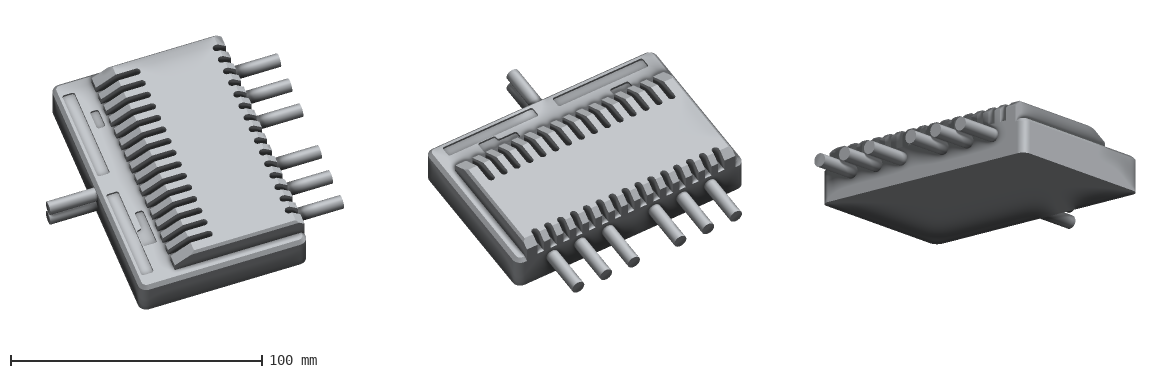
import cadquery as cq

base_width = 106.0
base_depth = 71.0
base_height = 15.0
base_corner_radius = 3.5
base_top_chamfer = 1.5
front_y = -base_depth / 2
back_y = base_depth / 2

total_height = 23.2
block_width = 97.0
block_depth = 55.0
block_side_chamfer = 1.0
back_bevel_depth = 3.5
back_bevel_drop = 2.9
front_bevel_depth = 8.5
front_bevel_drop = 5.0
block_front_y = back_y - block_depth

slot_count = 15
slot_pitch = 6.0
slot_width = 3.0
front_slot_length = 18.3
back_slot_length = 6.0

recess_depth = 1.0
recess_corner_radius = 1.0
label_length = 41.9
label_width = 5.2
label_center_x = 25.6
label_center_y = front_y + 5.3
window_back_y = front_y + 14.0
window_width = 3.6
window_length = 8.8
window_center_x = -31.0
step_left_x = 16.7
step_inner_x = 25.2
step_right_x = 33.4
step_depth = 5.9

cable_diameter = 5.6
cable_length = 20.0
back_cable_z = 10.1
back_cable_first_x = 10.8
back_cable_pitch = 12.95
back_cables_per_side = 3
front_cable_heights = (3.7, 10.4)


def make_base():
    """Box with rounded upright corners and a chamfer around the top."""
    box = cq.Workplane("XY").box(base_width, base_depth, base_height, centered=(True, True, False))
    return box.edges("|Z").fillet(base_corner_radius).faces(">Z").edges().chamfer(base_top_chamfer)


def make_block():
    """Block flush with the back of the base; it starts at the foot of the base chamfer."""
    block_bottom = base_height - base_top_chamfer
    profile = [
        (back_y, block_bottom),
        (back_y, total_height - back_bevel_drop),
        (back_y - back_bevel_depth, total_height),
        (block_front_y + front_bevel_depth, total_height),
        (block_front_y, total_height - front_bevel_drop),
        (block_front_y, block_bottom),
    ]
    side_profile = cq.Workplane("YZ").polyline(profile).close()
    beveled = side_profile.extrude(block_width / 2, both=True)
    envelope = (
        cq.Workplane("XY")
        .box(block_width, 2 * base_depth, total_height, centered=(True, True, False))
        .edges("|Y and >Z")
        .chamfer(block_side_chamfer)
    )
    return beveled.intersect(envelope)


def make_slot_cutters(edge_y, length):
    """Row of slots of the given length running inward from both sides of edge_y."""
    first_x = -slot_pitch * (slot_count - 1) / 2
    centers = [(first_x + i * slot_pitch, edge_y) for i in range(slot_count)]
    return (
        cq.Workplane("XY", origin=(0, 0, base_height))
        .pushPoints(centers)
        .slot2D(2 * length, slot_width, 90)
        .extrude(total_height - base_height)
    )


def make_recess(length, width, center_x, center_y):
    """Rectangular recess cutter with rounded corners."""
    return (
        cq.Workplane("XY", origin=(center_x, center_y, base_height - recess_depth))
        .rect(length, width)
        .extrude(recess_depth)
        .edges("|Z")
        .fillet(recess_corner_radius)
    )


def make_stepped_recess():
    """Recess cutter whose right-hand part reaches further forward."""
    window_front_y = window_back_y - window_width
    step_front_y = window_back_y - step_depth
    outline = [
        (step_left_x, window_back_y),
        (step_right_x, window_back_y),
        (step_right_x, step_front_y),
        (step_inner_x, step_front_y),
        (step_inner_x, window_front_y),
        (step_left_x, window_front_y),
    ]
    return (
        cq.Workplane("XY", origin=(0, 0, base_height - recess_depth))
        .polyline(outline)
        .close()
        .extrude(recess_depth)
        .edges("|Z")
        .fillet(recess_corner_radius)
    )


def make_cable(x, z, wall_y, direction):
    """Cable stub leaving the wall at wall_y; direction is 1 for +Y and -1 for -Y."""
    start = cq.Vector(x, wall_y, z)
    return cq.Workplane(
        cq.Solid.makeCylinder(cable_diameter / 2, cable_length, start, cq.Vector(0, direction, 0))
    )


result = make_base().union(make_block())
result = result.cut(make_slot_cutters(block_front_y, front_slot_length))
result = result.cut(make_slot_cutters(back_y, back_slot_length))

for side in (-1, 1):
    result = result.cut(make_recess(label_length, label_width, side * label_center_x, label_center_y))
window_center_y = window_back_y - window_width / 2
result = result.cut(make_recess(window_length, window_width, window_center_x, window_center_y))
result = result.cut(make_stepped_recess())

for side in (-1, 1):
    for i in range(back_cables_per_side):
        cable_x = side * (back_cable_first_x + i * back_cable_pitch)
        result = result.union(make_cable(cable_x, back_cable_z, back_y, 1))
for cable_z in front_cable_heights:
    result = result.union(make_cable(0, cable_z, front_y, -1))